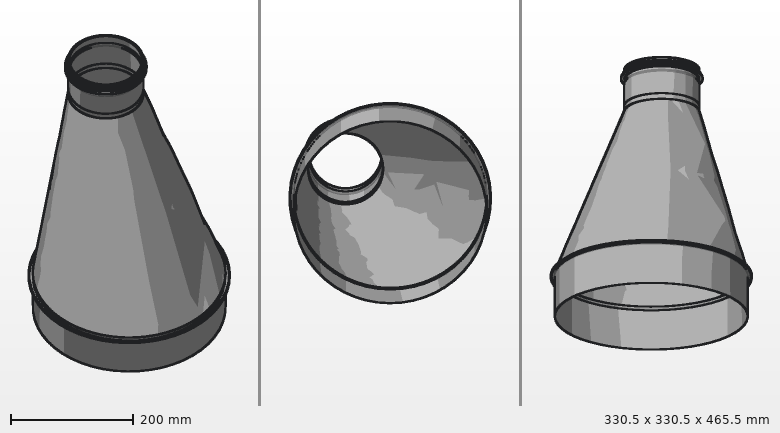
import cadquery as cq
import math

sheet = 0.5

pipe_radius = 316.45 / 2
pipe_height = 75.0

flange_radius = 330.45 / 2
flange_z = 69.5
web_thickness = 2 * sheet
web_root_radius = 1.0
bead_radius = 1.0

collar_radius = 124.05 / 2
collar_x = collar_radius - pipe_radius
collar_top = 465.49
collar_length = 73.49
collar_bottom = collar_top - collar_length

groove_radius = 119.25 / 2
groove_bottom = collar_top - 21.1
shoulder_bend = 2.0
shoulder_angle = math.radians(45)
fold_radius = (collar_radius - groove_radius + sheet) / 2
fold_z = collar_top - fold_radius
hem_bottom = collar_top - 5.6

neck_radius = collar_radius - sheet
neck_height = 10.0

gasket_radius = collar_radius - sheet
upper_lip_radius = 129.45 / 2
upper_lip_root_z = collar_top - 8.7
upper_lip_top = collar_top - 10.2
upper_lip_bottom = collar_top - 11.8
lower_lip_radius = 134.45 / 2
lower_lip_top = collar_top - 14.5
lower_lip_bottom = collar_top - 16.0


def revolve_about(profile, x):
    """Full turn of a closed XZ profile, drawn at negative radii, about the vertical line at x."""
    return profile.close().revolve(360, (0, 0, 0), (0, 1, 0)).translate((x, 0, 0))


def make_wide_pipe():
    root = web_root_radius
    web_top = flange_z + web_thickness / 2
    web_bottom = flange_z - web_thickness / 2
    bead_centre = flange_radius - bead_radius
    web_end = bead_centre - math.sqrt(bead_radius**2 - (web_thickness / 2) ** 2)
    profile = (
        cq.Workplane("XZ")
        .moveTo(-(pipe_radius - sheet), 0)
        .lineTo(-pipe_radius, 0)
        .lineTo(-pipe_radius, web_bottom - root)
        .radiusArc((-(pipe_radius + root), web_bottom), -root)
        .lineTo(-web_end, web_bottom)
        .threePointArc((-flange_radius, flange_z), (-web_end, web_top))
        .lineTo(-(pipe_radius + root), web_top)
        .radiusArc((-pipe_radius, web_top + root), -root)
        .lineTo(-pipe_radius, pipe_height)
        .lineTo(-(pipe_radius - sheet), pipe_height)
    )
    return revolve_about(profile, 0)


def make_frustum(bottom_radius, top_radius):
    return (
        cq.Workplane("XY")
        .workplane(offset=pipe_height)
        .circle(bottom_radius)
        .workplane(offset=collar_bottom - pipe_height)
        .center(collar_x, 0)
        .circle(top_radius)
        .loft(ruled=True)
    )


def make_cone():
    bore_radius = neck_radius - sheet
    outside = make_frustum(pipe_radius, collar_radius)
    inside = make_frustum(pipe_radius - sheet, bore_radius)
    neck = (
        cq.Workplane("XY", origin=(collar_x, 0, collar_bottom))
        .circle(neck_radius)
        .circle(bore_radius)
        .extrude(neck_height)
    )
    return outside.cut(inside).union(neck)


def make_collar():
    bore = collar_radius - sheet
    groove_bore = groove_radius - sheet
    fold_middle = collar_radius - fold_radius

    inward = shoulder_bend * (1 - math.cos(shoulder_angle))
    along = shoulder_bend * math.sin(shoulder_angle)
    slope = collar_radius - groove_radius - 2 * inward
    slope_height = slope / math.tan(shoulder_angle)
    slope_top = groove_bottom - along
    slope_bottom = slope_top - slope_height
    shoulder_bottom = slope_bottom - along
    normal_r = sheet * math.cos(shoulder_angle)
    normal_z = sheet * math.sin(shoulder_angle)
    slope_in = groove_radius + inward
    slope_out = collar_radius - inward

    profile = (
        cq.Workplane("XZ")
        .moveTo(-collar_radius, collar_bottom)
        .lineTo(-collar_radius, shoulder_bottom)
        .radiusArc((-slope_out, slope_bottom), shoulder_bend)
        .lineTo(-slope_in, slope_top)
        .radiusArc((-groove_radius, groove_bottom), -shoulder_bend)
        .lineTo(-groove_radius, fold_z)
        .threePointArc((-fold_middle, collar_top - sheet), (-bore, fold_z))
        .lineTo(-bore, hem_bottom)
        .lineTo(-collar_radius, hem_bottom)
        .lineTo(-collar_radius, fold_z)
        .threePointArc((-fold_middle, collar_top), (-groove_bore, fold_z))
        .lineTo(-groove_bore, groove_bottom)
        .radiusArc((-(slope_in - normal_r), slope_top - normal_z), shoulder_bend + sheet)
        .lineTo(-(slope_out - normal_r), slope_bottom - normal_z)
        .radiusArc((-bore, shoulder_bottom), -(shoulder_bend - sheet))
        .lineTo(-bore, collar_bottom)
    )
    return revolve_about(profile, collar_x)


def make_gasket():
    profile = (
        cq.Workplane("XZ")
        .moveTo(-groove_radius, fold_z)
        .lineTo(-gasket_radius, fold_z)
        .lineTo(-gasket_radius, upper_lip_root_z)
        .lineTo(-upper_lip_radius, upper_lip_top)
        .lineTo(-upper_lip_radius, upper_lip_bottom)
        .lineTo(-gasket_radius, upper_lip_bottom)
        .lineTo(-gasket_radius, lower_lip_top)
        .lineTo(-lower_lip_radius, lower_lip_top)
        .lineTo(-lower_lip_radius, lower_lip_bottom)
        .lineTo(-groove_radius, lower_lip_bottom)
    )
    return revolve_about(profile, collar_x)


wide_pipe = make_wide_pipe()
cone = make_cone()
collar = make_collar()
gasket = make_gasket()

result = cq.Compound.makeCompound([wide_pipe.val(), cone.val(), collar.val(), gasket.val()])